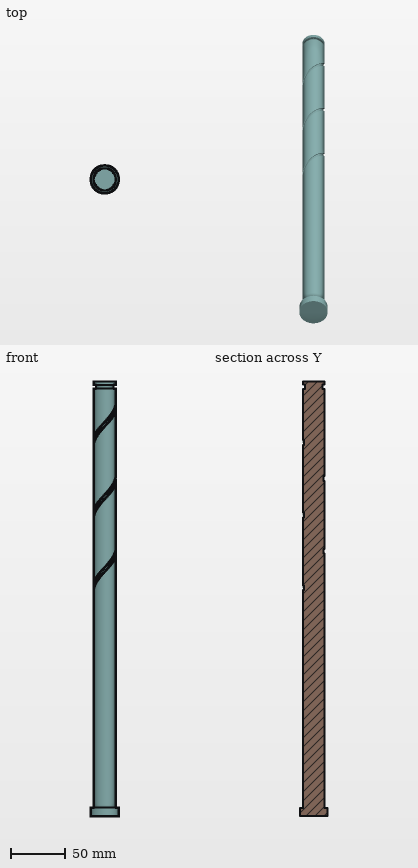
import cadquery as cq

total_height = 400.0
head_diameter = 26.0
head_height = 8.0
shaft_diameter = 20.5
shaft_radius = shaft_diameter / 2

top_collar_height = 3.0
ring_groove_width = 3.5
ring_groove_depth = 2.0

spiral_pitch = 67.0
spiral_turns = 2.75
spiral_start_height = 193.5
spiral_groove_height = 4.0
spiral_groove_depth = 1.0
cutter_overlap = 1.0


def make_pin():
    """Round shaft standing on a wider round head."""
    head = cq.Workplane("XY").circle(head_diameter / 2).extrude(head_height)
    shaft = cq.Workplane("XY").circle(shaft_radius).extrude(total_height)
    return head.union(shaft)


def make_ring_groove():
    """Ring to remove below the top collar."""
    groove_bottom = total_height - top_collar_height - ring_groove_width
    return (
        cq.Workplane("XY", origin=(0, 0, groove_bottom))
        .circle(shaft_radius + cutter_overlap)
        .circle(shaft_radius - ring_groove_depth)
        .extrude(ring_groove_width)
    )


def make_spiral_groove():
    """Rectangular section swept along a helix, then turned so it starts at +Y."""
    path = cq.Wire.makeHelix(spiral_pitch, spiral_pitch * spiral_turns, shaft_radius)
    section_depth = spiral_groove_depth + cutter_overlap
    section_center = shaft_radius + (cutter_overlap - spiral_groove_depth) / 2
    cutter = (
        cq.Workplane("XZ")
        .center(section_center, 0)
        .rect(section_depth, spiral_groove_height)
        .sweep(cq.Workplane(path), isFrenet=True)
    )
    return cutter.rotate((0, 0, 0), (0, 0, 1), 90).translate((0, 0, spiral_start_height))


result = make_pin().cut(make_ring_groove()).cut(make_spiral_groove())